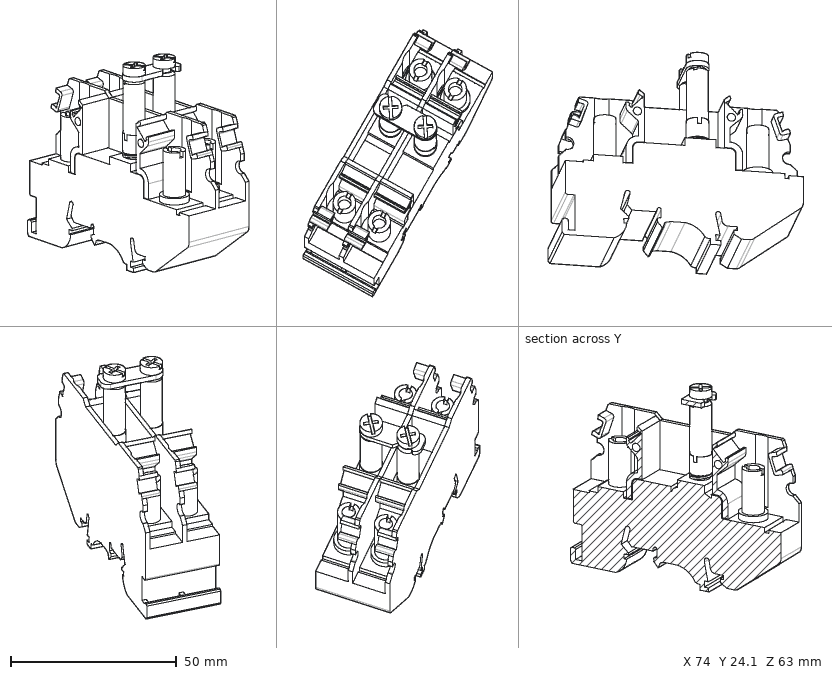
import cadquery as cq
import math

total_height = 63.05
total_width = 24.05
module_count = 2
module_pitch = total_width / module_count
length = 74.0
left_face = 0.95
center_x = (left_face + length) / 2
wall_thickness = 1.5
wall_front = module_pitch - wall_thickness
screw_y = 5.55

end_floor_z = 24.05
inner_floor_z = 24.65
pad_top_z = 26.65
ridge_top_z = 31.6
center_pad_top_z = 34.1
center_pad_left = 37.6
center_pad_right = 47.2
wall_top_z = 49.35
wall_middle_z = 47.4

lip_groove_left = 1.9
lip_groove_right = 4.0
lip_groove_z = 1.6
lip_web_top_z = 4.7

ridge_left = 21.75
ridge_radius = 1.8
rib_gap = 0.15
rib_outer_x = 19.6
rib_inner_x = 25.2
rib_hole_diameter = 2.5
rib_hole_x = 23.1
rib_hole_z = 41.7

tube_x = 14.05
tube_diameter = 6.8
tube_bore = 4.0
tube_bore_depth = 5.9
tube_top_z = 40.7
tube_slot_width = 1.2
tube_slot_depth = 1.7
collar_diameter = 9.0
wall_relief_radius = 5.5

clip_front = 6.0

post_x = 42.5
post_diameter = 6.65
post_chamfer = 0.8
sleeve_diameter = 6.9
sleeve_bottom_z = 35.75
sleeve_top_z = 41.9
sleeve_slot_depth = 1.9
washer_diameter = 6.9
washer_thickness = 0.7
washer_middle_z = 34.85
washer_tilt = 6.0
washer_core_diameter = 5.8
link_bottom_z = 58.75
link_top_z = 60.4
link_width = 7.0
link_rear_margin = 4.9
link_corner_radius = 2.2
link_slot_width = 4.2
link_front_flare = 1.55
link_rear_flare = 0.75
shank_diameter = 4.0
head_diameter = 6.8
head_slot_width = 0.95
head_slot_depth = 1.25
head_slot_angle = 33.0
cross_length = 4.45
post_slot_angle = 68.0

overlap = 0.15


def profile(y_rear):
    """Sketch plane in X and Z; a positive extrusion runs from y_rear toward -Y."""
    return cq.Workplane("XZ", origin=(0, y_rear, 0))


def cylinder(x, y, z_bottom, z_top, diameter):
    base = cq.Workplane("XY", origin=(x, y, z_bottom))
    return base.circle(diameter / 2).extrude(z_top - z_bottom)


def slot_cutter(x, y, z_top, slot_length, width, depth, angle):
    """Straight slot centred on an axis, turned about Z and open at the top."""
    block = cq.Workplane("XY").box(slot_length, width, depth, centered=(True, True, False))
    return block.rotate((0, 0, 0), (0, 0, 1), angle).translate((x, y, z_top - depth))


def mirrored(body):
    """The body together with its mirror image about the middle of the housing."""
    return body.union(body.mirror("YZ", (center_x, 0, 0)))


def housing_base():
    """Body below the open compartments, with the rail feet underneath."""
    corner = ridge_radius * (1 - math.sqrt(0.5))
    ridge_right = 2 * center_x - ridge_left
    outline = (
        profile(module_pitch)
        .moveTo(left_face, end_floor_z)
        .lineTo(6.6, end_floor_z)
        .lineTo(6.6, inner_floor_z)
        .lineTo(9.6, inner_floor_z)
        .lineTo(9.6, pad_top_z)
        .lineTo(18.7, pad_top_z)
        .lineTo(18.7, inner_floor_z)
        .lineTo(ridge_left, inner_floor_z)
        .lineTo(ridge_left, ridge_top_z - ridge_radius)
        .threePointArc(
            (ridge_left + corner, ridge_top_z - corner),
            (ridge_left + ridge_radius, ridge_top_z),
        )
        .lineTo(center_pad_left, ridge_top_z)
        .lineTo(center_pad_left, center_pad_top_z)
        .lineTo(center_pad_right, center_pad_top_z)
        .lineTo(center_pad_right, ridge_top_z)
        .lineTo(ridge_right - ridge_radius, ridge_top_z)
        .threePointArc(
            (ridge_right - corner, ridge_top_z - corner),
            (ridge_right, ridge_top_z - ridge_radius),
        )
        .lineTo(ridge_right, inner_floor_z)
        .lineTo(68.3, inner_floor_z)
        .lineTo(68.3, 23.1)
        .lineTo(69.55, 23.1)
        .lineTo(69.55, end_floor_z)
        .lineTo(length, end_floor_z)
        .lineTo(length, 15.7)
        .threePointArc((73.85, 14.7), (73.4, 13.9))
        .lineTo(59.05, 3.0)
        .threePointArc((58.45, 2.6), (57.7, 2.4))
        .lineTo(55.0, 2.4)
        .lineTo(52.7, 3.8)
        .lineTo(52.7, 5.1)
        .lineTo(53.7, 5.1)
        .lineTo(53.7, 6.3)
        .lineTo(50.9, 6.3)
        .threePointArc((49.6, 6.8), (49.0, 8.15))
        .lineTo(48.6, 10.15)
        .threePointArc((47.9, 10.8), (47.15, 10.15))
        .lineTo(47.15, 9.5)
        .lineTo(48.4, 3.25)
        .lineTo(47.15, 3.25)
        .lineTo(47.15, 1.4)
        .lineTo(48.6, 1.4)
        .lineTo(48.6, 0)
        .lineTo(45.4, 0)
        .lineTo(45.4, 1.85)
        .threePointArc((44.55, 1.9), (43.7, 2.4))
        .threePointArc((41.45, 4.95), (37.7, 6.5))
        .lineTo(33.45, 6.5)
        .lineTo(32.05, 6.3)
        .threePointArc((31.5, 6.0), (31.3, 5.5))
        .lineTo(31.15, 4.65)
        .lineTo(30.7, 4.4)
        .lineTo(29.2, 6.15)
        .lineTo(29.15, 7.25)
        .lineTo(30.35, 7.7)
        .lineTo(30.35, 10.2)
        .threePointArc((29.75, 10.8), (29.15, 10.2))
        .lineTo(28.9, 9.4)
        .lineTo(21.4, 9.4)
        .lineTo(19.9, 11.1)
        .lineTo(20.9, 14.95)
        .threePointArc((20.2, 15.7), (19.3, 15.1))
        .lineTo(17.9, 9.6)
        .lineTo(20.4, 7.25)
        .lineTo(20.4, 6.5)
        .lineTo(18.95, 6.5)
        .lineTo(18.95, 5.1)
        .lineTo(19.8, 5.1)
        .threePointArc((18.5, 1.85), (15.9, 0))
        .lineTo(0.6, 0)
        .lineTo(0, 0.8)
        .lineTo(0, 4.9)
        .lineTo(0.5, 5.3)
        .lineTo(1.5, 5.25)
        .lineTo(lip_groove_left, 4.8)
        .lineTo(lip_groove_left, lip_groove_z)
        .lineTo(lip_groove_right, lip_groove_z)
        .lineTo(lip_groove_right, 12.7)
        .threePointArc((3.9, 13.0), (3.6, 13.1))
        .lineTo(1.7, 13.1)
        .threePointArc((1.2, 13.3), (left_face, 13.85))
        .close()
    )
    body = outline.extrude(module_pitch)
    web_length = lip_groove_right - lip_groove_left + 2 * overlap
    web_height = lip_web_top_z - lip_groove_z + overlap
    lip_web = cq.Workplane("XY").box(web_length, wall_thickness, web_height, centered=False)
    return body.union(lip_web.translate((lip_groove_left - overlap, wall_front, lip_groove_z - overlap)))


def half_wall():
    """Left half of the thin partition wall, relieved around the terminal tube."""
    wall_bottom_z = end_floor_z - 1.5
    notch_x = 3.5
    notch_z = 34.05
    notch_radius = 2.0
    wall = (
        profile(module_pitch)
        .moveTo(left_face, wall_bottom_z)
        .lineTo(left_face, 30.0)
        .lineTo(3.1, notch_z - notch_radius)
        .lineTo(notch_x, notch_z - notch_radius)
        .threePointArc((notch_x + notch_radius, notch_z), (notch_x, notch_z + notch_radius))
        .lineTo(3.1, notch_z + notch_radius)
        .lineTo(3.1, 38.3)
        .lineTo(3.9, 40.4)
        .lineTo(6.9, 40.4)
        .lineTo(8.35, 45.15)
        .lineTo(6.15, 47.0)
        .lineTo(6.9, 49.0)
        .lineTo(7.3, wall_top_z)
        .lineTo(23.15, wall_top_z)
        .lineTo(rib_inner_x, wall_middle_z)
        .lineTo(center_x, wall_middle_z)
        .lineTo(center_x, wall_bottom_z)
        .close()
        .extrude(wall_thickness)
    )
    relief = cylinder(tube_x, screw_y, pad_top_z, wall_top_z, 2 * wall_relief_radius)
    return wall.cut(relief)


def marker_clip():
    """C-shaped spring clip that stands off the end of the wall."""
    return (
        profile(module_pitch)
        .moveTo(6.2, 47.1)
        .lineTo(8.3, 46.4)
        .threePointArc((8.8, 46.0), (8.95, 45.3))
        .lineTo(7.25, 40.3)
        .threePointArc((6.9, 39.7), (6.2, 39.5))
        .lineTo(3.85, 40.25)
        .lineTo(4.1, 41.0)
        .threePointArc((4.45, 41.5), (5.0, 41.5))
        .lineTo(6.0, 41.1)
        .lineTo(6.4, 40.7)
        .lineTo(7.8, 44.6)
        .threePointArc((7.8, 45.1), (7.4, 45.35))
        .lineTo(6.0, 45.65)
        .close()
        .extrude(module_pitch - clip_front)
    )


def rib():
    """Cross rib with a lead-in slope, a hooked tip and a side hole."""
    foot_z = inner_floor_z + rib_gap
    inner_x = ridge_left - rib_gap
    inner_z = ridge_top_z + rib_gap
    inner_radius = ridge_radius + rib_gap
    corner = inner_radius * (1 - math.sqrt(0.5))
    body = (
        profile(module_pitch)
        .moveTo(rib_outer_x, foot_z)
        .lineTo(rib_outer_x, 29.75)
        .threePointArc((20.7, 32.5), (23.45, 33.7))
        .lineTo(23.45, 38.25)
        .lineTo(23.15, 38.7)
        .lineTo(20.0, 41.6)
        .threePointArc((19.7, 42.2), (rib_outer_x, 42.9))
        .lineTo(rib_outer_x, 44.5)
        .lineTo(20.3, 44.5)
        .lineTo(20.7, 43.95)
        .lineTo(20.5, 43.45)
        .lineTo(21.2, 42.8)
        .lineTo(24.8, 46.5)
        .lineTo(23.9, 47.0)
        .threePointArc((23.3, 47.65), (23.7, 48.7))
        .lineTo(rib_inner_x, wall_middle_z)
        .lineTo(rib_inner_x, inner_z)
        .lineTo(inner_x + inner_radius, inner_z)
        .threePointArc((inner_x + corner, inner_z - corner), (inner_x, inner_z - inner_radius))
        .lineTo(inner_x, foot_z)
        .close()
        .extrude(module_pitch)
    )
    hole = (
        profile(wall_front)
        .center(rib_hole_x, rib_hole_z)
        .circle(rib_hole_diameter / 2)
        .extrude(wall_front)
    )
    return body.cut(hole)


def terminal_tube(x, bottom_z):
    """Slotted screw tube standing on a terminal pad."""
    tube = cylinder(x, screw_y, bottom_z - overlap, tube_top_z, tube_diameter)
    bore = cylinder(x, screw_y, tube_top_z - tube_bore_depth, tube_top_z, tube_bore)
    slot = slot_cutter(x, screw_y, tube_top_z, 2 * tube_diameter, tube_slot_width, tube_slot_depth, 0)
    return tube.cut(bore).cut(slot)


def disconnect_post():
    """Post on the centre pad: tilted spring washer, slotted sleeve, shaft and screw head."""
    post = cylinder(post_x, screw_y, sleeve_bottom_z, link_bottom_z, post_diameter)
    post = post.faces(">Z").chamfer(post_chamfer)
    post_slot = slot_cutter(
        post_x, screw_y, link_bottom_z, 2 * post_diameter, tube_slot_width, head_slot_depth, post_slot_angle
    )
    post = post.cut(post_slot)

    sleeve = cylinder(post_x, screw_y, sleeve_bottom_z, sleeve_top_z, sleeve_diameter)
    sleeve_slot = slot_cutter(
        post_x, screw_y, sleeve_top_z, tube_slot_width, 2 * sleeve_diameter, sleeve_slot_depth, 0
    )
    sleeve_slot = sleeve_slot.cut(post)
    post = post.union(sleeve).cut(sleeve_slot)

    core = cylinder(post_x, screw_y, center_pad_top_z - overlap, sleeve_bottom_z, washer_core_diameter)
    washer = (
        cq.Workplane("XY")
        .cylinder(washer_thickness, washer_diameter / 2)
        .rotate((0, 0, 0), (0, 1, 0), -washer_tilt)
        .translate((post_x, screw_y, washer_middle_z))
    )
    post = post.union(core).union(washer)

    shank = cylinder(post_x, screw_y, link_bottom_z - post_diameter, link_top_z, shank_diameter)
    head = cylinder(post_x, screw_y, link_top_z, total_height, head_diameter)
    head_slots = ((2 * head_diameter, head_slot_angle), (cross_length, head_slot_angle + 90))
    for slot_length, angle in head_slots:
        head = head.cut(slot_cutter(
            post_x, screw_y, total_height, slot_length, head_slot_width, head_slot_depth, angle
        ))
    return post.union(shank).union(head)


def terminal_module():
    right_tube_x = 2 * center_x - tube_x
    module = housing_base()
    module = module.union(mirrored(half_wall()))
    module = module.union(mirrored(marker_clip()))
    module = module.union(mirrored(rib()))
    collar = cylinder(right_tube_x, screw_y, inner_floor_z - overlap, pad_top_z, collar_diameter)
    module = module.union(collar)
    module = module.union(terminal_tube(tube_x, pad_top_z))
    module = module.union(terminal_tube(right_tube_x, pad_top_z))
    return module.union(disconnect_post())


def rear_floor_recesses():
    """Rounded and sloping recesses beside the centre pad of the rear module."""
    rear_wall_face = module_pitch + wall_front
    left_radius = 2.15
    left_x = center_pad_left - left_radius
    left_arc = left_radius * math.sqrt(0.5)
    ramp_end_x = center_pad_right + 2.2
    ramp_drop = 1.1
    left = (
        profile(rear_wall_face)
        .moveTo(left_x, ridge_top_z)
        .lineTo(left_x, ridge_top_z - left_radius)
        .threePointArc(
            (left_x + left_radius - left_arc, ridge_top_z - left_radius + left_arc),
            (left_x + left_radius, ridge_top_z),
        )
        .close()
        .extrude(wall_front)
    )
    right = (
        profile(rear_wall_face)
        .moveTo(center_pad_right, ridge_top_z)
        .lineTo(ramp_end_x, ridge_top_z)
        .lineTo(ramp_end_x, ridge_top_z - ramp_drop)
        .close()
        .extrude(wall_front)
    )
    return left.union(right)


def link_plate():
    """Plate joining both posts: round front end, open side slot at the rear screw."""
    half_width = link_width / 2
    rear_screw_y = screw_y + module_pitch
    rear_y = rear_screw_y + link_rear_margin
    plate = (
        cq.Workplane("XY", origin=(post_x, 0, link_bottom_z))
        .moveTo(-half_width, screw_y)
        .threePointArc((0, screw_y - half_width), (half_width, screw_y))
        .lineTo(half_width, rear_y)
        .lineTo(-half_width, rear_y)
        .close()
        .extrude(link_top_z - link_bottom_z)
    )
    plate = plate.edges("|Z and >Y").fillet(link_corner_radius)

    slot_half = link_slot_width / 2
    slot = (
        cq.Workplane("XY", origin=(post_x, rear_screw_y, link_bottom_z))
        .moveTo(0, -slot_half)
        .lineTo(half_width - link_front_flare, -slot_half)
        .lineTo(half_width, -slot_half - link_front_flare)
        .lineTo(half_width, slot_half + link_rear_flare)
        .lineTo(half_width - link_rear_flare, slot_half)
        .lineTo(0, slot_half)
        .threePointArc((-slot_half, 0), (0, -slot_half))
        .close()
        .extrude(link_top_z - link_bottom_z)
    )
    return plate.cut(slot)


module = terminal_module()
result = module
for index in range(1, module_count):
    result = result.union(module.translate((0, index * module_pitch, 0)))
result = result.cut(rear_floor_recesses())
result = result.union(link_plate())